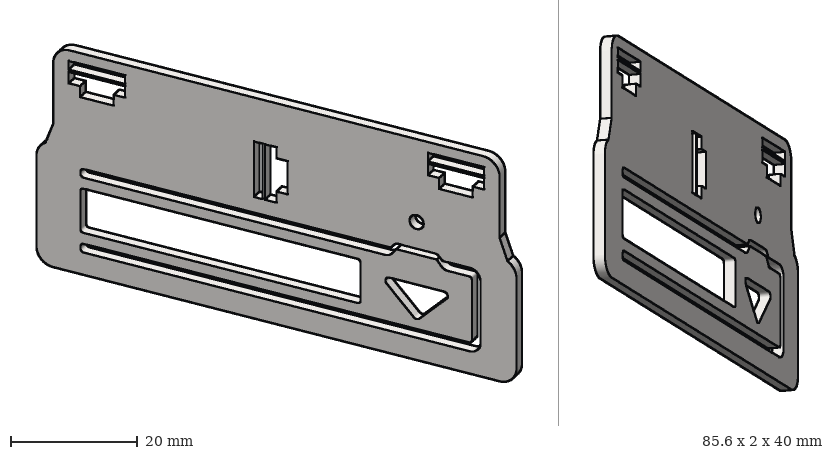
import cadquery as cq
import math

WIDTH = 85.6
HEIGHT = 40.0
THICKNESS = 2.0
UPPER_WIDTH = 79.6
CORNER_RADIUS = 3.0
SHOULDER_TOP_Z = 6.0
SHOULDER_ARC_Z = -0.5
SHOULDER_ARC_ANGLE = math.radians(118)

SLOT_LENGTH = 10.0
SLOT_WIDTH = 4.0
STEP_LENGTH = 6.0
STEP_WIDTH = 2.0
BAR_OFFSET = 1.5
BAR_WIDTH = 0.4
TOP_SLOT_X = 32.0
TOP_SLOT_INSET = 2.0
CENTRE_SLOT_LEFT = -4.0
CENTRE_SLOT_Z = 7.0

TAB_X = 25.0
HOLE_Z = 5.0
HOLE_DIAMETER = 2.5

GROOVE_WIDTH = 1.5
GROOVE_LEFT = -34.9
GROOVE_RIGHT = 36.4
GROOVE_TOP = -0.85
GROOVE_BOTTOM = -15.9
TONGUE_CORNER_RADIUS = 0.4
GROOVE_END_RADIUS = 0.6

TAB_TOP_HALF = 3.6
TAB_FOOT_HALF = 4.9
TAB_BLEND_RADIUS = 1.5
RECESS_TOP_HALF = 3.7
RECESS_FOOT_HALF = 4.6
RECESS_RISE = 1.0
RECESS_BLEND_RADIUS = 1.0

WINDOW_RIGHT = 15.0
WINDOW_HEIGHT = 8.0
WINDOW_RADIUS = 0.5
TRIANGLE_TOP = -6.3
TRIANGLE_HALF_WIDTH = 6.5
TRIANGLE_RADIUS = 0.7

TONGUE_CENTRE_Z = (GROOVE_TOP + GROOVE_BOTTOM) / 2


def front_sketch():
    """Sketch plane on the front face: local x is X, local y is Z."""
    return cq.Workplane("XZ", origin=(0, -THICKNESS / 2, 0))


def extrude(sketch):
    """Extrude a closed front outline through the plate thickness."""
    return sketch.extrude(-THICKNESS)


def box(left, right, bottom, top):
    centre = ((left + right) / 2, (bottom + top) / 2)
    return extrude(front_sketch().center(*centre).rect(right - left, top - bottom))


def fillet_near(body, x, z, radius):
    """Fillet the through-thickness edge nearest to (x, z)."""
    return body.edges(cq.selectors.NearestToPointSelector((x, 0, z))).fillet(radius)


def plate():
    half = WIDTH / 2
    upper_half = UPPER_WIDTH / 2
    top = HEIGHT / 2
    arc_x = -half + CORNER_RADIUS

    def shoulder_point(angle):
        return (
            arc_x + CORNER_RADIUS * math.cos(angle),
            SHOULDER_ARC_Z + CORNER_RADIUS * math.sin(angle),
        )

    left_half = extrude(
        front_sketch()
        .moveTo(0, top)
        .lineTo(-upper_half, top)
        .lineTo(-upper_half, SHOULDER_TOP_Z)
        .lineTo(*shoulder_point(SHOULDER_ARC_ANGLE))
        .threePointArc(shoulder_point((SHOULDER_ARC_ANGLE + math.pi) / 2), (-half, SHOULDER_ARC_Z))
        .lineTo(-half, -top)
        .lineTo(0, -top)
        .close()
    )
    body = left_half.union(left_half.mirror("YZ"))
    for side in (-1, 1):
        body = fillet_near(body, side * upper_half, top, CORNER_RADIUS)
        body = fillet_near(body, side * half, -top, CORNER_RADIUS)
    return body


def strap_slot():
    """Slot hanging down from the origin, centred on x = 0."""
    half = SLOT_LENGTH / 2
    step_half = STEP_LENGTH / 2
    above_bar = box(-half, half, -BAR_OFFSET, 0)
    below_bar = box(-half, half, -SLOT_WIDTH, -BAR_OFFSET - BAR_WIDTH)
    step = box(-step_half, step_half, -SLOT_WIDTH - STEP_WIDTH, -SLOT_WIDTH)
    return above_bar.union(below_bar.union(step))


def tongue_outline(left, right, bottom, top, shoulder):
    """Rectangle whose top edge carries a trapezoid centred on TAB_X."""
    foot_half, top_half, rise = shoulder
    return extrude(
        front_sketch()
        .moveTo(left, bottom)
        .lineTo(right, bottom)
        .lineTo(right, top)
        .lineTo(TAB_X + foot_half, top)
        .lineTo(TAB_X + top_half, top + rise)
        .lineTo(TAB_X - top_half, top + rise)
        .lineTo(TAB_X - foot_half, top)
        .lineTo(left, top)
        .close()
    )


def groove():
    outer = tongue_outline(
        GROOVE_LEFT, GROOVE_RIGHT, GROOVE_BOTTOM, GROOVE_TOP,
        (RECESS_FOOT_HALF, RECESS_TOP_HALF, RECESS_RISE),
    )
    tongue_right = GROOVE_RIGHT - GROOVE_WIDTH
    tongue_bottom = GROOVE_BOTTOM + GROOVE_WIDTH
    tongue_top = GROOVE_TOP - GROOVE_WIDTH
    inner = tongue_outline(
        GROOVE_LEFT, tongue_right, tongue_bottom, tongue_top,
        (TAB_FOOT_HALF, TAB_TOP_HALF, GROOVE_WIDTH),
    )
    for z in (GROOVE_BOTTOM, GROOVE_TOP):
        outer = fillet_near(outer, GROOVE_RIGHT, z, TONGUE_CORNER_RADIUS + GROOVE_WIDTH)
    for z in (tongue_bottom, tongue_top):
        inner = fillet_near(inner, tongue_right, z, TONGUE_CORNER_RADIUS)
    for side in (-1, 1):
        outer = fillet_near(
            outer, TAB_X + side * RECESS_TOP_HALF, GROOVE_TOP + RECESS_RISE, RECESS_BLEND_RADIUS
        )
        inner = fillet_near(inner, TAB_X + side * TAB_FOOT_HALF, tongue_top, TAB_BLEND_RADIUS)
    return outer.cut(inner).edges("|Y").edges("<X").fillet(GROOVE_END_RADIUS)


def window():
    half = WINDOW_HEIGHT / 2
    opening = box(GROOVE_LEFT, WINDOW_RIGHT, TONGUE_CENTRE_Z - half, TONGUE_CENTRE_Z + half)
    return opening.edges("|Y").fillet(WINDOW_RADIUS)


def triangle():
    """Right-angled arrow pointing down, with 45 degree sides."""
    corners = [
        (TAB_X - TRIANGLE_HALF_WIDTH, TRIANGLE_TOP),
        (TAB_X + TRIANGLE_HALF_WIDTH, TRIANGLE_TOP),
        (TAB_X, TRIANGLE_TOP - TRIANGLE_HALF_WIDTH),
    ]
    return extrude(front_sketch().polyline(corners).close()).edges("|Y").fillet(TRIANGLE_RADIUS)


result = plate()

for slot_x in (-TOP_SLOT_X, TOP_SLOT_X):
    result = result.cut(strap_slot().translate((slot_x, 0, HEIGHT / 2 - TOP_SLOT_INSET)))

upright_slot = strap_slot().rotate((0, 0, 0), (0, 1, 0), -90)
result = result.cut(upright_slot.translate((CENTRE_SLOT_LEFT, 0, CENTRE_SLOT_Z)))

result = result.cut(extrude(front_sketch().center(TAB_X, HOLE_Z).circle(HOLE_DIAMETER / 2)))
result = result.cut(groove())
result = result.cut(window())
result = result.cut(triangle())